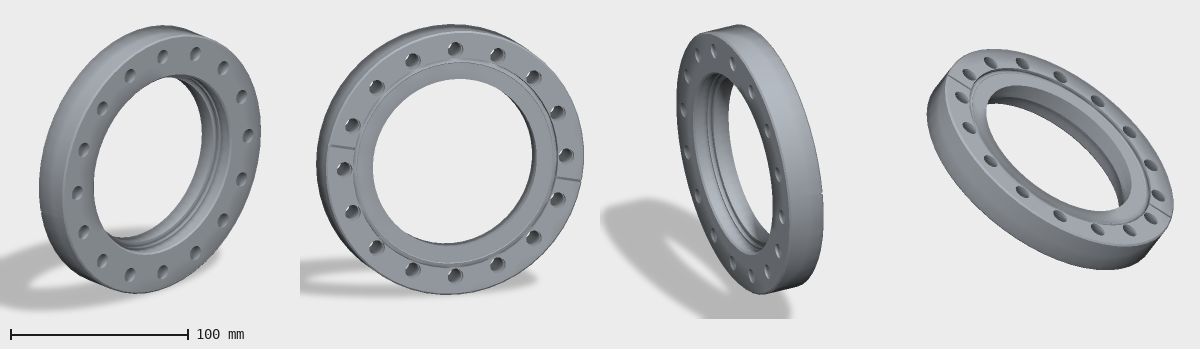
import cadquery as cq


outer_diameter = 151.6
ring_thickness = 21.4
rim_chamfer = 0.9
seat_diameter = 120.7
seat_depth = 13.3
lip_bore_diameter = 103.7
lip_chamfer = 0.9

hole_count = 16
bolt_circle_diameter = 130.3
hole_diameter = 8.3
hole_mouth_diameter = 9.1
hole_mouth_depth = 2.7

groove_width = 1.5
groove_depth = 1.8
groove_angle = 180 / hole_count

insert_diameter = 120.1
insert_bore_diameter = 96.3
socket_diameter = 101.6
socket_shoulder_x = 10.9
knife_tip_diameter = 115.5
knife_root_diameter = 115.0
knife_tip_x = 1.0
knife_base_x = 1.8
insert_floor_x = 1.4

outer_radius = outer_diameter / 2
lip_bore_radius = lip_bore_diameter / 2
seat_radius = seat_diameter / 2
insert_radius = insert_diameter / 2
insert_bore_radius = insert_bore_diameter / 2
socket_radius = socket_diameter / 2
knife_tip_radius = knife_tip_diameter / 2
knife_root_radius = knife_root_diameter / 2


def revolve_about_x(profile_points):
    """Revolve a closed (x, radius) profile about the X axis."""
    return cq.Workplane("XY").polyline(profile_points).close().revolve(360, (0, 0, 0), (1, 0, 0))


def ring_blank():
    """Stepped ring: a seat for the insert in front, a chamfered retaining lip behind."""
    return revolve_about_x([
        (0, seat_radius),
        (0, outer_radius - rim_chamfer),
        (rim_chamfer, outer_radius),
        (ring_thickness - rim_chamfer, outer_radius),
        (ring_thickness, outer_radius - rim_chamfer),
        (ring_thickness, lip_bore_radius + lip_chamfer),
        (ring_thickness - lip_chamfer, lip_bore_radius),
        (seat_depth, lip_bore_radius),
        (seat_depth, seat_radius),
    ])


def bolt_hole():
    """Cutter for one through hole, slightly wider at its mouth, on the X axis."""
    hole_radius = hole_diameter / 2
    mouth_radius = hole_mouth_diameter / 2
    return revolve_about_x([
        (0, 0),
        (0, mouth_radius),
        (hole_mouth_depth, mouth_radius),
        (hole_mouth_depth, hole_radius),
        (ring_thickness, hole_radius),
        (ring_thickness, 0),
    ])


def leak_grooves():
    """Cutter for two opposite radial grooves across the sealing face."""
    bar = cq.Workplane("XY").box(groove_depth, outer_diameter, groove_width, centered=(False, True, True))
    return bar.rotate((0, 0, 0), (1, 0, 0), groove_angle)


def make_ring():
    ring = ring_blank()
    hole = bolt_hole().translate((0, bolt_circle_diameter / 2, 0))
    for i in range(hole_count):
        ring = ring.cut(hole.rotate((0, 0, 0), (1, 0, 0), i * 360 / hole_count))
    return ring.cut(leak_grooves())


def make_insert():
    """Annulus with a raised knife edge in front and a counterbored socket behind."""
    return revolve_about_x([
        (insert_floor_x, insert_bore_radius),
        (insert_floor_x, knife_root_radius),
        (knife_tip_x, knife_tip_radius),
        (knife_base_x, insert_radius),
        (seat_depth, insert_radius),
        (seat_depth, socket_radius),
        (socket_shoulder_x, socket_radius),
        (socket_shoulder_x, insert_bore_radius),
    ])


ring = make_ring()
insert = make_insert()
result = cq.Compound.makeCompound([ring.val(), insert.val()])